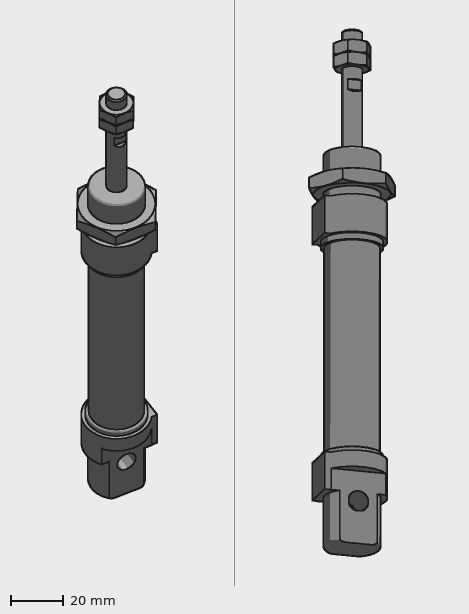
import cadquery as cq
import math


TONGUE_SHOULDER_Z = 20.5
TONGUE_FLAT_TOP_Z = 29.0
REAR_CAP_TOP_Z = 35.5
REAR_COLLAR_TOP_Z = 37.7
FRONT_COLLAR_BOTTOM_Z = 120.5
FRONT_CAP_BOTTOM_Z = 123.0
FRONT_CAP_TOP_Z = 138.0
NECK_TOP_Z = 158.0
ROD_TOP_Z = 207.0

TUBE_DIAMETER = 21.4
CAP_DIAMETER = 27.0
COLLAR_DIAMETER = 24.0
REAR_COLLAR_FILLET = 0.7
NECK_DIAMETER = 22.0
NECK_FILLET = 1.0
TONGUE_DIAMETER = 22.0
TONGUE_THICKNESS = 16.0
TONGUE_FILLET = 1.5
PIN_HOLE_DIAMETER = 8.0
PIN_HOLE_Z = 17.0
PORT_PAD_WIDTH = 15.6
PORT_PAD_ROOT_FILLET = 0.5

ROD_DIAMETER = 8.0
ROD_TIP_DIAMETER = 6.65
WRENCH_FLAT_WIDTH = 6.0
WRENCH_FLAT_TOP_Z = 187.0
WRENCH_FLAT_BOTTOM_Z = 183.0

LOCK_NUT_WIDTH = 13.0
LOCK_NUT_HEIGHT = 5.0
LOCK_NUT_COUNT = 2
LOCK_NUT_BOTTOM_Z = 192.0
MOUNT_NUT_WIDTH = 30.0
MOUNT_NUT_HEIGHT = 6.0
MOUNT_NUT_BOTTOM_Z = 142.0
NUT_FACE_RATIO = 0.985
NUT_CHAMFER_ANGLE = 20.0


def cylinder(diameter, bottom, top):
    return cq.Workplane("XY").workplane(offset=bottom).circle(diameter / 2).extrude(top - bottom)


def make_cap(bottom, top):
    """Round end cap with a flat port pad on its +Y side."""
    pad_length = CAP_DIAMETER / 2
    pad = (
        cq.Workplane("XY")
        .workplane(offset=bottom)
        .center(0, pad_length / 2)
        .rect(PORT_PAD_WIDTH, pad_length)
        .extrude(top - bottom)
    )
    cap = cylinder(CAP_DIAMETER, bottom, top).union(pad)
    root_x = PORT_PAD_WIDTH / 2
    root_y = math.sqrt((CAP_DIAMETER / 2) ** 2 - root_x**2)
    for side in (-1, 1):
        root_edge = cq.NearestToPointSelector((side * root_x, root_y, (bottom + top) / 2))
        cap = cap.edges("|Z").edges(root_edge).fillet(PORT_PAD_ROOT_FILLET)
    return cap


def make_tongue_side_cut(side):
    """Block that cuts one flat of the tongue, on the -X (-1) or +X (+1) side."""
    block_size = 2 * CAP_DIAMETER
    return (
        cq.Workplane("XY")
        .center(side * (TONGUE_THICKNESS + block_size) / 2, 0)
        .rect(block_size, block_size)
        .extrude(TONGUE_FLAT_TOP_Z)
    )


def make_housing():
    """Tube with its end caps, the neck that carries the mounting nut and the clevis tongue."""
    tongue = cylinder(TONGUE_DIAMETER, 0, TONGUE_SHOULDER_Z).faces("<Z").fillet(TONGUE_FILLET)
    rear_collar = cylinder(COLLAR_DIAMETER, REAR_CAP_TOP_Z, REAR_COLLAR_TOP_Z)
    rear_collar = rear_collar.faces(">Z").fillet(REAR_COLLAR_FILLET)
    neck = cylinder(NECK_DIAMETER, FRONT_CAP_TOP_Z, NECK_TOP_Z).faces(">Z").fillet(NECK_FILLET)
    housing = (
        tongue.union(make_cap(TONGUE_SHOULDER_Z, REAR_CAP_TOP_Z))
        .union(rear_collar)
        .union(cylinder(TUBE_DIAMETER, REAR_COLLAR_TOP_Z, FRONT_COLLAR_BOTTOM_Z))
        .union(cylinder(COLLAR_DIAMETER, FRONT_COLLAR_BOTTOM_Z, FRONT_CAP_BOTTOM_Z))
        .union(make_cap(FRONT_CAP_BOTTOM_Z, FRONT_CAP_TOP_Z))
        .union(neck)
    )
    for side in (-1, 1):
        housing = housing.cut(make_tongue_side_cut(side))
    pin_hole = (
        cq.Workplane("YZ")
        .center(0, PIN_HOLE_Z)
        .circle(PIN_HOLE_DIAMETER / 2)
        .extrude(TONGUE_THICKNESS, both=True)
    )
    return housing.cut(pin_hole)


def make_rod():
    """Rod standing on the neck, with two wrench flats that run out at 45 degrees."""
    rod = (
        cylinder(ROD_DIAMETER, NECK_TOP_Z, ROD_TOP_Z)
        .faces(">Z")
        .chamfer((ROD_DIAMETER - ROD_TIP_DIAMETER) / 2)
    )
    flat_depth = (ROD_DIAMETER - WRENCH_FLAT_WIDTH) / 2
    flat_cut = (
        cq.Workplane("XZ")
        .moveTo(WRENCH_FLAT_WIDTH / 2, WRENCH_FLAT_TOP_Z)
        .lineTo(ROD_DIAMETER / 2, WRENCH_FLAT_TOP_Z)
        .lineTo(ROD_DIAMETER / 2, WRENCH_FLAT_BOTTOM_Z - flat_depth)
        .lineTo(WRENCH_FLAT_WIDTH / 2, WRENCH_FLAT_BOTTOM_Z)
        .close()
        .extrude(ROD_DIAMETER, both=True)
    )
    return rod.cut(flat_cut).cut(flat_cut.mirror("YZ"))


def make_nut(width, height, hole_diameter, bottom):
    """Hex nut with two corners on the Y axis and cone-chamfered ends."""
    corner_radius = width / math.sqrt(3)
    face_radius = NUT_FACE_RATIO * width / 2
    chamfer_drop = (corner_radius - face_radius) * math.tan(math.radians(NUT_CHAMFER_ANGLE))
    hexagon = (
        cq.Workplane("XY")
        .polygon(6, 2 * corner_radius)
        .extrude(height)
        .rotate((0, 0, 0), (0, 0, 1), 90)
    )
    cone_envelope = (
        cq.Workplane("XZ")
        .moveTo(0, 0)
        .lineTo(face_radius, 0)
        .lineTo(corner_radius, chamfer_drop)
        .lineTo(corner_radius, height - chamfer_drop)
        .lineTo(face_radius, height)
        .lineTo(0, height)
        .close()
        .revolve()
    )
    nut = hexagon.intersect(cone_envelope).cut(cylinder(hole_diameter, 0, height))
    return nut.translate((0, 0, bottom))


housing = make_housing()
rod = make_rod()
mount_nut = make_nut(MOUNT_NUT_WIDTH, MOUNT_NUT_HEIGHT, NECK_DIAMETER, MOUNT_NUT_BOTTOM_Z)
lock_nuts = [
    make_nut(LOCK_NUT_WIDTH, LOCK_NUT_HEIGHT, ROD_DIAMETER, LOCK_NUT_BOTTOM_Z + index * LOCK_NUT_HEIGHT)
    for index in range(LOCK_NUT_COUNT)
]

result = cq.Compound.makeCompound(
    [housing.val(), rod.val(), mount_nut.val()] + [nut.val() for nut in lock_nuts]
)